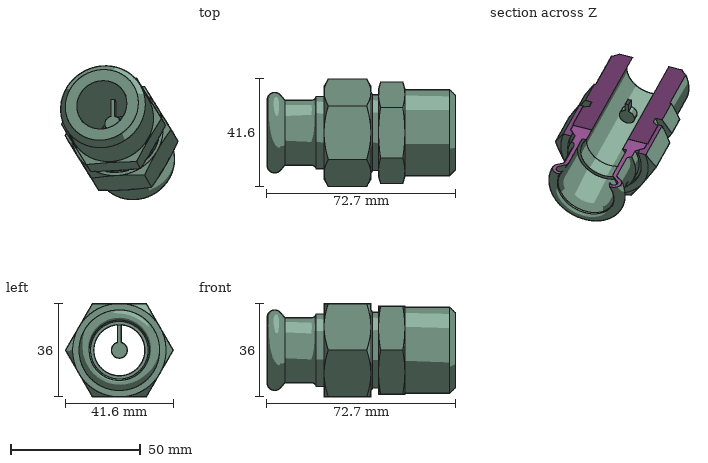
import cadquery as cq
import math


OVERALL_LENGTH = 72.7
BEAD_ARC_END = 5.15
BEAD_END = 6.85
TUBE_END = 17.2
SOCKET_END = 22.0
NUT_START = 22.0
NUT_LENGTH = 18.0
NUT_END = NUT_START + NUT_LENGTH
BODY_HEX_START = 43.0
BODY_HEX_LENGTH = 10.1
BODY_HEX_END = BODY_HEX_START + BODY_HEX_LENGTH

TUBE_RADIUS = 25.2 / 2
BEAD_RADIUS = 2.95
COLLAR_RADIUS = 28.0 / 2
FLARE_RADIUS = 1.75
COLLAR_END = 22.7
FLANGE_CONE_ANGLE = 45.0
FLANGE_RIM_THICKNESS = 3.0
MOUTH_ROUND_RADIUS = 0.65
MOUTH_TAPER_END = 1.45
MOUTH_LIP_END = 2.3
SOCKET_MOUTH_RADIUS = 23.3 / 2
SOCKET_RADIUS = 22.2 / 2
SOCKET_FILLET_END = 7.2
SOCKET_FILLET_RADIUS = 2.0
GROOVE_CONE_ANGLE = 45.0
BORE_RADIUS = 19.6 / 2
WALL_THICKNESS = TUBE_RADIUS - SOCKET_RADIUS
GROOVE_RADIUS = BEAD_RADIUS - WALL_THICKNESS

NUT_ACROSS_FLATS = 36.0
NUT_CHAMFER_ANGLE = 30.0
NUT_HOLE_RADIUS = 30.29 / 2

THREAD_RADIUS = 33.25 / 2
NECK_RADIUS = 29.3 / 2
NECK_START = 40.7
NECK_CONE_LENGTH = 1.2
BODY_ACROSS_FLATS = 34.0
BODY_CHAMFER_ANGLE = 16.5
END_CHAMFER = 2.3

DISC_RADIUS = 6.2 / 2
STEM_WIDTH = 1.5
STEM_EMBED = 1.0
DISC_THICKNESS = 3.0

FLANGE_CONE_SLOPE = math.tan(math.radians(FLANGE_CONE_ANGLE))
NUT_SEAT_START = COLLAR_END + (NUT_HOLE_RADIUS - COLLAR_RADIUS) / FLANGE_CONE_SLOPE
FLANGE_CONE_END = COLLAR_END + (THREAD_RADIUS - COLLAR_RADIUS) / FLANGE_CONE_SLOPE

SEAT = FLANGE_CONE_END + FLANGE_RIM_THICKNESS


def cylinder(start, end, radius):
    return cq.Workplane("YZ", origin=(start, 0, 0)).circle(radius).extrude(end - start)


def revolve_about_axis(profile):
    return profile.close().revolve(360, (0, 0, 0), (1, 0, 0))


def chamfered_hexagon(start, length, across_flats, chamfer_angle):
    """Hexagon with flats facing +Z and -Z, its corners turned off conically at both ends."""
    flat_radius = across_flats / 2
    corner_radius = flat_radius / math.cos(math.radians(30))
    chamfer_length = (corner_radius - flat_radius) * math.tan(math.radians(chamfer_angle))
    end = start + length
    prism = (
        cq.Workplane("YZ", origin=(start, 0, 0))
        .polygon(6, 2 * corner_radius)
        .extrude(length)
    )
    turned_envelope = revolve_about_axis(
        cq.Workplane("XY")
        .moveTo(start, 0)
        .lineTo(start, flat_radius)
        .lineTo(start + chamfer_length, corner_radius)
        .lineTo(end - chamfer_length, corner_radius)
        .lineTo(end, flat_radius)
        .lineTo(end, 0)
    )
    return prism.intersect(turned_envelope)


def circle_point(center, radius, angle):
    """Point on a circle in the profile plane, with the angle measured from +X in radians."""
    return center[0] + radius * math.cos(angle), center[1] + radius * math.sin(angle)


def make_press_tail():
    """Turned tube with a bead and seal groove at the mouth and a conical flange at the back."""
    bead_center = (BEAD_RADIUS, TUBE_RADIUS)
    bead_end_angle = math.acos((BEAD_ARC_END - BEAD_RADIUS) / BEAD_RADIUS)
    bead_tip = (0, TUBE_RADIUS)

    mouth_round_center = (MOUTH_ROUND_RADIUS, TUBE_RADIUS)
    mouth_round_middle = circle_point(mouth_round_center, MOUTH_ROUND_RADIUS, -3 * math.pi / 4)

    flare_center = (TUBE_END, TUBE_RADIUS + FLARE_RADIUS)
    flare_angle = math.acos((flare_center[1] - COLLAR_RADIUS) / FLARE_RADIUS)
    flare_bottom = -math.pi / 2

    cone_angle = math.radians(GROOVE_CONE_ANGLE)
    fillet_center = (SOCKET_FILLET_END, SOCKET_RADIUS + SOCKET_FILLET_RADIUS)
    fillet_middle = circle_point(fillet_center, SOCKET_FILLET_RADIUS, -(math.pi + cone_angle) / 2)
    fillet_start = circle_point(fillet_center, SOCKET_FILLET_RADIUS, -math.pi / 2 - cone_angle)
    groove_back_angle = math.pi / 2 - cone_angle
    groove_front_angle = math.pi
    groove_middle = circle_point(
        bead_center, GROOVE_RADIUS, (groove_back_angle + groove_front_angle) / 2
    )

    return revolve_about_axis(
        cq.Workplane("XY")
        .moveTo(*bead_tip)
        .threePointArc(
            circle_point(bead_center, BEAD_RADIUS, math.pi / 2),
            circle_point(bead_center, BEAD_RADIUS, bead_end_angle),
        )
        .lineTo(BEAD_END, TUBE_RADIUS)
        .lineTo(TUBE_END, TUBE_RADIUS)
        .threePointArc(
            circle_point(flare_center, FLARE_RADIUS, flare_bottom + flare_angle / 2),
            circle_point(flare_center, FLARE_RADIUS, flare_bottom + flare_angle),
        )
        .lineTo(COLLAR_END, COLLAR_RADIUS)
        .lineTo(FLANGE_CONE_END, THREAD_RADIUS)
        .lineTo(SEAT, THREAD_RADIUS)
        .lineTo(SEAT, BORE_RADIUS)
        .lineTo(SOCKET_END, BORE_RADIUS)
        .lineTo(SOCKET_END, SOCKET_RADIUS)
        .lineTo(SOCKET_FILLET_END, SOCKET_RADIUS)
        .threePointArc(fillet_middle, fillet_start)
        .lineTo(*circle_point(bead_center, GROOVE_RADIUS, groove_back_angle))
        .threePointArc(
            groove_middle, circle_point(bead_center, GROOVE_RADIUS, groove_front_angle)
        )
        .lineTo(MOUTH_LIP_END, SOCKET_MOUTH_RADIUS)
        .lineTo(MOUTH_TAPER_END, SOCKET_MOUTH_RADIUS)
        .lineTo(*circle_point(mouth_round_center, MOUTH_ROUND_RADIUS, -math.pi / 2))
        .threePointArc(mouth_round_middle, bead_tip)
    )


def make_union_nut():
    """Hexagon nut hollowed to fit over the tail flange and the threaded body."""
    nut = chamfered_hexagon(NUT_START, NUT_LENGTH, NUT_ACROSS_FLATS, NUT_CHAMFER_ANGLE)
    cavity = revolve_about_axis(
        cq.Workplane("XY")
        .moveTo(NUT_START, 0)
        .lineTo(NUT_START, NUT_HOLE_RADIUS)
        .lineTo(NUT_SEAT_START, NUT_HOLE_RADIUS)
        .lineTo(FLANGE_CONE_END, THREAD_RADIUS)
        .lineTo(NUT_END, THREAD_RADIUS)
        .lineTo(NUT_END, 0)
    )
    return nut.cut(cavity)


def make_centre_disc():
    disc_start = (BODY_HEX_START + BODY_HEX_END - DISC_THICKNESS) / 2
    disc = cylinder(disc_start, disc_start + DISC_THICKNESS, DISC_RADIUS)
    stem = cq.Workplane("XY").box(
        DISC_THICKNESS, STEM_WIDTH, BORE_RADIUS + STEM_EMBED, centered=(False, True, False)
    )
    return disc.union(stem.translate((disc_start, 0, 0)))


def make_threaded_body():
    turned = revolve_about_axis(
        cq.Workplane("XY")
        .moveTo(SEAT, 0)
        .lineTo(SEAT, THREAD_RADIUS)
        .lineTo(NECK_START - NECK_CONE_LENGTH, THREAD_RADIUS)
        .lineTo(NECK_START, NECK_RADIUS)
        .lineTo(BODY_HEX_END, NECK_RADIUS)
        .lineTo(BODY_HEX_END, THREAD_RADIUS)
        .lineTo(OVERALL_LENGTH - END_CHAMFER, THREAD_RADIUS)
        .lineTo(OVERALL_LENGTH, THREAD_RADIUS - END_CHAMFER)
        .lineTo(OVERALL_LENGTH, 0)
    )
    hexagon = chamfered_hexagon(
        BODY_HEX_START, BODY_HEX_LENGTH, BODY_ACROSS_FLATS, BODY_CHAMFER_ANGLE
    )
    bore = cylinder(SEAT, OVERALL_LENGTH, BORE_RADIUS)
    return turned.union(hexagon).cut(bore).union(make_centre_disc())


press_tail = make_press_tail()
union_nut = make_union_nut()
threaded_body = make_threaded_body()

result = cq.Compound.makeCompound([press_tail.val(), union_nut.val(), threaded_body.val()])